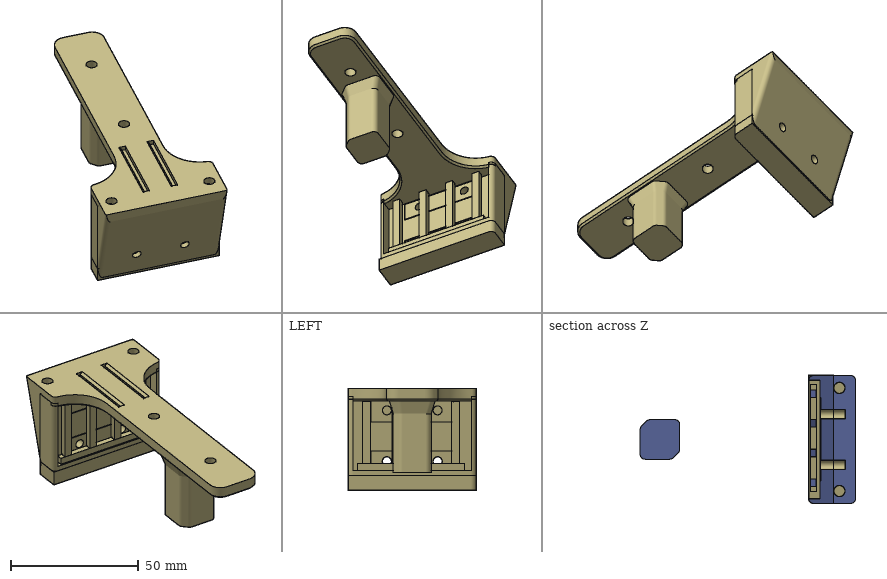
import cadquery as cq
import math


total_length = 113.1
total_width = 50.5
total_height = 40.0
plate_thickness = 5.0
plate_edge_chamfer = 0.8
arm_width = 20.4
arm_corner_radius = 5.0
neck_radius = (total_width - arm_width) / 2
plate_hole_diameter = 4.3
arm_hole_positions = (19.9, 60.1)
corner_hole_x = 105.3
corner_hole_y = 20.2
corner_hole_depth = 10.0

holder_front = 93.2
holder_back = 102.9
holder_corner_radius = 2.0
holder_top = 3.0
holder_floor_top = 32.1
holder_floor_bottom = 34.2
wedge_top_depth = 4.0
wedge_bottom_depth = 39.0
wedge_edge_radius = 2.0

cavity_back = 97.6
panel_sink = 0.3
panel_half_width = 16.3
upper_panel_bottom = 13.2
lower_panel_top = 24.5
screw_diameter = 3.5
screw_hole_depth = 10.0
screw_half_pitch_y = 10.0
screw_depths = (8.6, 28.6)

bar_count = 4
bar_pitch = 11.7
bar_width = 3.0
bar_thickness = 2.4
bar_front = 93.9
bar_top = 5.2
rail_top = 29.4
rail_width = 42.0
bar_shift = 0.51

slot_start = 73.6
slot_length = 30.0
slot_width = 2.7
slot_depth = 1.8
slot_chamfer = 1.0

post_center = 34.8
post_size = 14.9
post_bottom = 33.0
post_corner_radius = 2.0
post_key_chamfer = 2.9
flare_bottom = 10.0
flare_growth = 1.5


def box_between(x_range, y_range, z_range):
    """Block between two X, two Y and two Z values."""
    lengths = [high - low for low, high in (x_range, y_range, z_range)]
    corner = (x_range[0], y_range[0], z_range[0])
    return cq.Workplane("XY").box(*lengths, centered=False).translate(corner)


def centered_span(width, center=0.0):
    """Lower and upper limit of a width about its centre."""
    return (center - width / 2, center + width / 2)


def make_plate():
    """Long arm that widens through two round necks to cover the holder."""
    half_arm = arm_width / 2
    half_width = total_width / 2
    neck_start = holder_front - neck_radius
    neck_offset = neck_radius * math.sqrt(0.5)
    neck_mid_x = neck_start + neck_offset
    neck_mid_y = half_width - neck_offset
    plate = (
        cq.Workplane("XY")
        .moveTo(0, -half_arm)
        .lineTo(neck_start, -half_arm)
        .threePointArc((neck_mid_x, -neck_mid_y), (holder_front, -half_width))
        .lineTo(holder_back, -half_width)
        .lineTo(holder_back, half_width)
        .lineTo(holder_front, half_width)
        .threePointArc((neck_mid_x, neck_mid_y), (neck_start, half_arm))
        .lineTo(0, half_arm)
        .close()
        .extrude(-plate_thickness)
    )
    plate = plate.edges("|Z and <X").fillet(arm_corner_radius)
    plate = plate.edges("|Z").edges("<Y or >Y").edges("<X").fillet(holder_corner_radius)
    return plate.faces("<Z").chamfer(plate_edge_chamfer)


def make_wedge():
    """Triangular backing with rounded sloping edges, clipped flat at the plate's end."""
    slope = (total_length - holder_back) / (wedge_bottom_depth - wedge_top_depth)
    tip = total_length + slope * wedge_top_depth
    wedge = (
        cq.Workplane("XZ")
        .polyline([(holder_back, 0), (tip, 0), (holder_back, -wedge_bottom_depth)])
        .close()
        .extrude(total_width / 2, both=True)
    )
    wedge = wedge.edges("not (|X or |Y or |Z)").fillet(wedge_edge_radius)
    keep = box_between((holder_back, total_length), centered_span(total_width), (-total_height, 0))
    return wedge.intersect(keep)


def make_cavity():
    """Space in the holder, open to the front and the top, with the two sunk panels."""
    half_opening = total_width / 2 - holder_corner_radius
    cavity = box_between(
        (0, cavity_back), (-half_opening, half_opening), (-holder_floor_top, 0)
    )
    panel_depths = (
        (plate_thickness, upper_panel_bottom),
        (lower_panel_top, holder_floor_top),
    )
    for top, bottom in panel_depths:
        panel = box_between(
            (0, cavity_back + panel_sink),
            (-panel_half_width, panel_half_width),
            (-bottom, -top),
        )
        cavity = cavity.union(panel)
    return cavity


def make_screw_holes():
    points = [(side * screw_half_pitch_y, -depth) for side in (-1, 1) for depth in screw_depths]
    return (
        cq.Workplane("YZ", origin=(cavity_back, 0, 0))
        .pushPoints(points)
        .circle(screw_diameter / 2)
        .extrude(screw_hole_depth)
    )


def make_rail():
    return box_between(
        (bar_front, bar_front + bar_thickness),
        centered_span(rail_width, bar_shift),
        (-holder_floor_top, -rail_top),
    )


def make_holder_shell():
    """Floor, side walls and back wall of the holder, with the rail on its floor."""
    block = box_between(
        (holder_front, holder_back), centered_span(total_width), (-holder_floor_bottom, -holder_top)
    )
    shell = block.edges("|Z and <X").fillet(holder_corner_radius).cut(make_cavity())
    return shell.union(make_rail())


def post_outline(growth):
    """Square with rounded corners and two opposite corners cut off, grown outwards by a margin."""
    half_size = post_size / 2 + growth
    cut = post_key_chamfer + growth * (2 - math.sqrt(2))
    return (
        cq.Sketch()
        .rect(2 * half_size, 2 * half_size)
        .vertices("(>X and <Y) or (<X and >Y)")
        .chamfer(cut)
        .reset()
        .vertices()
        .fillet(post_corner_radius)
    )


def make_post():
    """Shaft with a flared root that meets the underside of the arm."""
    start = cq.Workplane("XY", origin=(post_center, 0, -flare_bottom))
    shaft = start.placeSketch(post_outline(0)).extrude(flare_bottom - post_bottom)
    flare_height = flare_bottom - plate_thickness
    wide_end = post_outline(flare_growth).moved(cq.Location(cq.Vector(0, 0, flare_height)))
    flare = start.placeSketch(post_outline(0), wide_end).loft()
    return shaft.union(flare)


def make_plate_holes():
    top = cq.Workplane("XY")
    arm_points = [(x, 0) for x in arm_hole_positions]
    corner_points = [(corner_hole_x, side * corner_hole_y) for side in (-1, 1)]
    arm_holes = top.pushPoints(arm_points).circle(plate_hole_diameter / 2).extrude(-plate_thickness)
    corner_holes = (
        top.pushPoints(corner_points).circle(plate_hole_diameter / 2).extrude(-corner_hole_depth)
    )
    return arm_holes.union(corner_holes)


def bar_center(index):
    return bar_shift + (index - (bar_count - 1) / 2) * bar_pitch


def make_slot(center_y):
    """Blind slot along X whose -Y rim is bevelled."""
    low_y, high_y = centered_span(slot_width, center_y)
    outline = [
        (low_y, 0),
        (low_y + slot_chamfer, -slot_chamfer),
        (low_y + slot_chamfer, -slot_depth),
        (high_y, -slot_depth),
        (high_y, 0),
    ]
    return (
        cq.Workplane("YZ", origin=(slot_start, 0, 0)).polyline(outline).close().extrude(slot_length)
    )


def make_bracket(holder_shell):
    """Plate, post and wedge in one piece, recessed for the holder."""
    bracket = make_plate().union(make_wedge()).union(make_post()).cut(holder_shell)
    bracket = bracket.cut(make_plate_holes())
    for index in range(1, bar_count - 1):
        bracket = bracket.cut(make_slot(bar_center(index)))
    return bracket


def make_base():
    """Block closing the bottom of the holder, with one front corner rounded."""
    block = box_between(
        (holder_front, holder_back),
        centered_span(total_width),
        (-total_height, -holder_floor_bottom),
    )
    return block.edges("|Z and <X and <Y").fillet(holder_corner_radius)


def make_bar(center_y):
    """Upright bar standing on the rail."""
    return box_between(
        (bar_front, bar_front + bar_thickness),
        centered_span(bar_width, center_y),
        (-rail_top, -bar_top),
    )


holder_shell = make_holder_shell()
screw_holes = make_screw_holes()
bracket = make_bracket(holder_shell).cut(screw_holes)
holder = holder_shell.cut(screw_holes)
base = make_base()
bars = [make_bar(bar_center(index)) for index in range(bar_count)]

result = cq.Compound.makeCompound(
    [bracket.val(), holder.val(), base.val(), *[bar.val() for bar in bars]]
)